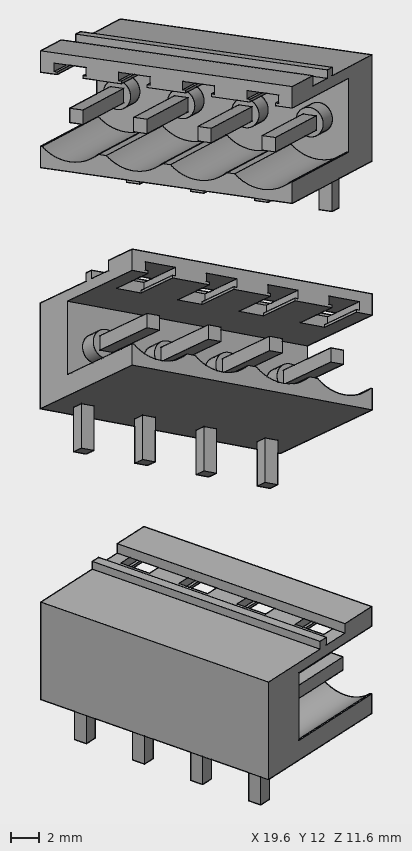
import cadquery as cq


CONTACT_COUNT = 4
CONTACT_PITCH = 5.0
PIN_SIZE = 1.04
PIN_AXIS_Z = 3.76
PIN_TIP_Y = 0.92
TAIL_LENGTH = 3.21
TAIL_AXIS_Y = 9.98

WIDTH = 19.6
DEPTH = 12.0
REAR_BLOCK_DEPTH = 3.55
FLOOR_TOP_Z = 1.55
ROOF_UNDERSIDE_Z = 6.86
ROOF_TOP_Z = 7.66
LIP_DEPTH = 3.12
LIP_TOP_Z = 8.4
RIB_FRONT_Y = 5.27
RIB_WIDTH = 0.75
RIB_HEIGHT = 0.6
CAVITY_BACK_Y = DEPTH - REAR_BLOCK_DEPTH

COLLAR_DIAMETER = 2.12
COLLAR_LENGTH = 1.4

TROUGH_WIDTH = 4.35
TROUGH_DEPTH = 0.82

SLOT_LENGTH = 4.14
SLOT_WIDTH = 2.47
SLOT_MOUTH_WIDTH = 2.0
SLOT_LEDGE_THICKNESS = 0.2

first_contact_x = -CONTACT_PITCH * (CONTACT_COUNT - 1) / 2
contact_xs = [first_contact_x + i * CONTACT_PITCH for i in range(CONTACT_COUNT)]


def box_between(x_range, y_range, z_range):
    """Box spanning the given (low, high) ranges along X, Y and Z."""
    ranges = (x_range, y_range, z_range)
    lengths = [high - low for low, high in ranges]
    corner = cq.Vector(*[low for low, high in ranges])
    return cq.Workplane("XY").box(*lengths, centered=False).translate(corner)


def centered_range(center, size):
    return (center - size / 2, center + size / 2)


def make_pin(x):
    """Right-angle pin: a horizontal arm joined to a downward solder tail."""
    x_range = centered_range(x, PIN_SIZE)
    tail_y_range = centered_range(TAIL_AXIS_Y, PIN_SIZE)
    arm_z_range = centered_range(PIN_AXIS_Z, PIN_SIZE)
    arm = box_between(x_range, (PIN_TIP_Y, tail_y_range[1]), arm_z_range)
    tail = box_between(x_range, tail_y_range, (-TAIL_LENGTH, arm_z_range[1]))
    return arm.union(tail).solids()


def make_housing_shell():
    """Side profile open at the front, extruded across the whole width."""
    profile = [
        (0, 0),
        (DEPTH, 0),
        (DEPTH, ROOF_TOP_Z),
        (LIP_DEPTH, ROOF_TOP_Z),
        (LIP_DEPTH, LIP_TOP_Z),
        (0, LIP_TOP_Z),
        (0, ROOF_UNDERSIDE_Z),
        (CAVITY_BACK_Y, ROOF_UNDERSIDE_Z),
        (CAVITY_BACK_Y, FLOOR_TOP_Z),
        (0, FLOOR_TOP_Z),
    ]
    shell = cq.Workplane("YZ").polyline(profile).close().extrude(WIDTH / 2, both=True)
    rib = box_between(
        centered_range(0, WIDTH),
        (RIB_FRONT_Y, RIB_FRONT_Y + RIB_WIDTH),
        (ROOF_TOP_Z, ROOF_TOP_Z + RIB_HEIGHT),
    )
    return shell.union(rib)


def make_collar(x):
    """Round boss on the rear block, around one pin."""
    return (
        cq.Workplane("XZ", origin=(x, CAVITY_BACK_Y, PIN_AXIS_Z))
        .circle(COLLAR_DIAMETER / 2)
        .extrude(COLLAR_LENGTH)
    )


def make_trough(x):
    """Circular-arc groove in the floor, from the front face to the rear block."""
    half_width = TROUGH_WIDTH / 2
    return (
        cq.Workplane("XZ", origin=(x, 0, FLOOR_TOP_Z))
        .moveTo(-half_width, 0)
        .threePointArc((0, -TROUGH_DEPTH), (half_width, 0))
        .close()
        .extrude(-CAVITY_BACK_Y)
    )


def make_keying_slot(x):
    """T-slot through the roof: it opens upward behind the lip and runs under the lip."""
    y_range = (0, SLOT_LENGTH)
    ledge_z = ROOF_UNDERSIDE_Z + SLOT_LEDGE_THICKNESS
    wide_part = box_between(centered_range(x, SLOT_WIDTH), y_range, (ledge_z, ROOF_TOP_Z))
    mouth = box_between(centered_range(x, SLOT_MOUTH_WIDTH), y_range, (ROOF_UNDERSIDE_Z, ledge_z))
    return wide_part.union(mouth)


def make_housing(pins):
    """Housing with a matching right-angle passage for every pin."""
    housing = make_housing_shell()
    for x in contact_xs:
        housing = housing.cut(make_trough(x))
        housing = housing.cut(make_keying_slot(x))
        housing = housing.union(make_collar(x))
    for pin in pins:
        housing = housing.cut(pin)
    return housing.solids()


pins = [make_pin(x) for x in contact_xs]
housing = make_housing(pins)

result = cq.Compound.makeCompound([housing.val(), *[pin.val() for pin in pins]])